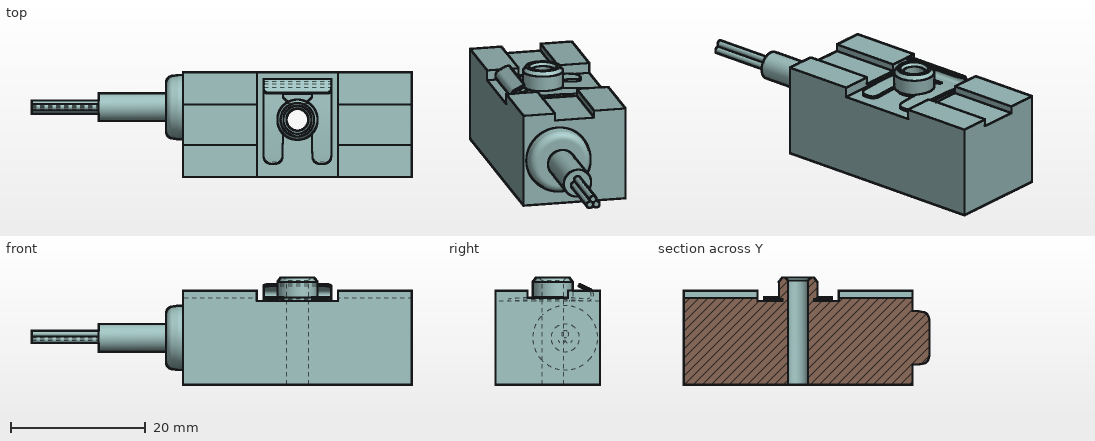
import cadquery as cq
import math

total_length = 56.5
body_length = 34.0
body_width = 15.6
body_height = 14.0
body_start = total_length - body_length
body_middle = body_start + body_length / 2

overlap = 0.55

groove_width = 6.0
groove_depth = 1.1
slot_width = 12.05
slot_depth = 1.5
slot_floor = body_height - slot_depth

cable_y = 2.6
cable_z = body_height / 2
gland_length = 2.55
gland_base_diameter = 9.6
gland_front_diameter = 9.4
gland_base_length = 0.7
gland_rounding = 1.15
cable_diameter = 4.2
cable_start = 9.95
wire_diameter = 1.0
wire_count = 3
wire_pitch = 0.99

bush_y = 0.75
bush_diameter = 6.0
bush_top = 16.0
bush_chamfer_height = 0.7
bush_rim_diameter = 5.0
bush_neck_diameter = 5.0
bush_neck_height = 0.5
bore_diameter = 3.2
bore_mouth_diameter = 4.2

clip_width = 10.05
clip_thickness = 0.35
clip_back_y = 6.8
clip_tip_y = -5.8
clip_arch = 0.3
clip_embed = 0.03
curl_radius = 0.95
lip_angle = math.radians(25)
lip_end_y = 4.75
lip_corner_radius = 0.7
leg_tip_radius = 1.15
leg_tip_gap = 4.45
leg_root_gap = 4.25
window_width = 4.3
window_back_y = 4.6
window_straight = 0.5
window_taper = 0.9


def make_body():
    body = cq.Workplane("XY").box(body_length, body_width, body_height, centered=(False, True, False))
    body = body.translate((body_start, 0, 0))
    groove = cq.Workplane("XY").box(body_length, groove_width, groove_depth, centered=(False, True, False))
    slot = cq.Workplane("XY").box(slot_width, body_width, slot_depth, centered=(True, True, False))
    body = body.cut(groove.translate((body_start, 0, body_height - groove_depth)))
    return body.cut(slot.translate((body_middle, 0, slot_floor)))


def rod(start, end, diameter, y, z):
    """Round rod along X."""
    return cq.Workplane("YZ", origin=(start, y, z)).circle(diameter / 2).extrude(end - start)


def make_gland():
    """Tapered gland with a rounded front, turned about the cable axis."""
    front = body_start - gland_length
    front_radius = gland_front_diameter / 2
    base_radius = gland_base_diameter / 2
    diagonal = gland_rounding * (1 - math.sqrt(0.5))
    return (
        cq.Workplane("XY", origin=(0, cable_y, cable_z))
        .moveTo(front, 0)
        .lineTo(front, front_radius - gland_rounding)
        .threePointArc(
            (front + diagonal, front_radius - diagonal),
            (front + gland_rounding, front_radius),
        )
        .lineTo(body_start - gland_base_length, base_radius)
        .lineTo(body_start, base_radius)
        .lineTo(body_start, 0)
        .close()
        .revolve(360, (0, 0, 0), (1, 0, 0))
    )


def make_cable():
    cable = rod(cable_start, body_start, cable_diameter, cable_y, cable_z)
    bundle_radius = wire_pitch / math.sqrt(3)
    for index in range(wire_count):
        angle = math.radians(90 + index * 360 / wire_count)
        y = cable_y + bundle_radius * math.cos(angle)
        z = cable_z + bundle_radius * math.sin(angle)
        cable = cable.union(rod(0, cable_start + overlap, wire_diameter, y, z))
    return cable


def make_clip():
    """Side profile of the folded strip in YZ, then the openings and rounded corners."""
    curl_y = clip_back_y - curl_radius
    inner_radius = curl_radius - clip_thickness
    sine = math.sin(lip_angle)
    cosine = math.cos(lip_angle)
    arch_y = (clip_tip_y + curl_y) / 2

    def curl_exit(radius):
        return curl_y + radius * sine, curl_radius + radius * cosine

    outer_exit = curl_exit(curl_radius)
    inner_exit = curl_exit(inner_radius)
    lip_length = (outer_exit[0] - lip_end_y) / cosine
    lip_step = (-lip_length * cosine, lip_length * sine)
    outer_end = (outer_exit[0] + lip_step[0], outer_exit[1] + lip_step[1])
    inner_end = (inner_exit[0] + lip_step[0], inner_exit[1] + lip_step[1])

    base_z = slot_floor - clip_embed
    left = body_middle - clip_width / 2
    clip = (
        cq.Workplane("YZ", origin=(left, 0, base_z))
        .moveTo(clip_tip_y, 0)
        .threePointArc((arch_y, clip_arch), (curl_y, 0))
        .threePointArc((clip_back_y, curl_radius), outer_exit)
        .lineTo(*outer_end)
        .lineTo(*inner_end)
        .lineTo(*inner_exit)
        .threePointArc((curl_y + inner_radius, curl_radius), (curl_y, clip_thickness))
        .threePointArc((arch_y, clip_arch + clip_thickness), (clip_tip_y, clip_thickness))
        .close()
        .extrude(clip_width)
    )

    lip_corner_z = base_z + (outer_end[1] + inner_end[1]) / 2
    lip_corner_y = (outer_end[0] + inner_end[0]) / 2
    for x in (left, left + clip_width):
        corner = cq.selectors.NearestToPointSelector((x, lip_corner_y, lip_corner_z))
        clip = clip.edges(corner).fillet(lip_corner_radius)

    opening_height = clip_arch + 2 * clip_thickness
    opening_plane = cq.Workplane("XY", origin=(body_middle, 0, base_z))
    gap = opening_plane.polyline([
        (-leg_tip_gap / 2, clip_tip_y),
        (leg_tip_gap / 2, clip_tip_y),
        (leg_root_gap / 2, bush_y),
        (-leg_root_gap / 2, bush_y),
    ]).close().extrude(opening_height)
    half_window = window_width / 2
    taper_y = window_back_y - window_straight
    window = opening_plane.polyline([
        (-half_window, window_back_y),
        (half_window, window_back_y),
        (half_window, taper_y),
        (half_window - window_taper, taper_y - window_taper),
        (window_taper - half_window, taper_y - window_taper),
        (-half_window, taper_y),
    ]).close().extrude(opening_height)
    clip = clip.cut(gap).cut(window)

    tip_offsets = (-clip_width / 2, -leg_tip_gap / 2, leg_tip_gap / 2, clip_width / 2)
    for offset in tip_offsets:
        tip = (body_middle + offset, clip_tip_y, base_z + clip_thickness / 2)
        clip = clip.edges(cq.selectors.NearestToPointSelector(tip)).fillet(leg_tip_radius)
    return clip


def make_bush():
    """Chamfered collar on a narrower neck that stands on the slot floor."""
    collar_bottom = slot_floor + bush_neck_height
    collar_height = bush_top - collar_bottom
    rim_width = (bush_diameter - bush_rim_diameter) / 2
    neck = cq.Workplane("XY", origin=(body_middle, bush_y, slot_floor - overlap))
    neck = neck.circle(bush_neck_diameter / 2).extrude(bush_neck_height + overlap)
    collar = cq.Workplane("XY", origin=(body_middle, bush_y, collar_bottom))
    collar = collar.circle(bush_diameter / 2).extrude(collar_height)
    top_edge = collar.faces(">Z").edges()
    return neck.union(top_edge.chamfer(bush_chamfer_height, rim_width))


def make_bore():
    """Through bore with a countersunk mouth, as a cutting tool."""
    bore_radius = bore_diameter / 2
    mouth_radius = bore_mouth_diameter / 2
    return (
        cq.Workplane("XZ", origin=(body_middle, bush_y, 0))
        .polyline([
            (0, 0),
            (bore_radius, 0),
            (bore_radius, bush_top - (mouth_radius - bore_radius)),
            (mouth_radius, bush_top),
            (0, bush_top),
        ])
        .close()
        .revolve(360, (0, 0, 0), (0, 1, 0))
    )


result = make_body()
for feature in (make_gland(), make_cable(), make_clip(), make_bush()):
    result = result.union(feature)
result = result.cut(make_bore())